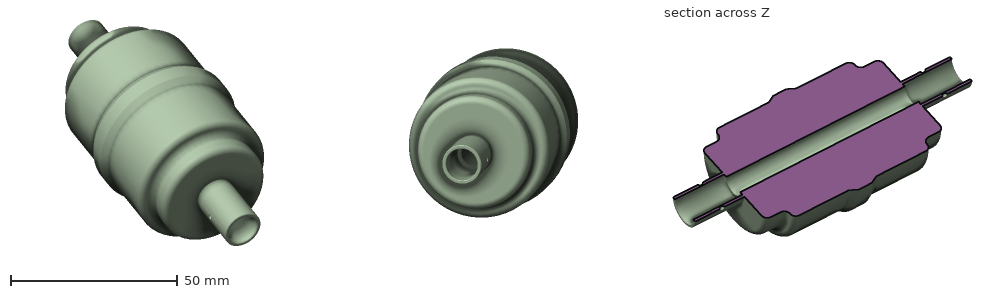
import cadquery as cq

length = 101.0
body_diameter = 43.0
body_length = 50.0
cap_diameter = 34.5
cap_length = 65.0
corner_radius = 2.0

band_diameter = 46.0
band_length = 10.1
band_flat_length = 4.8

tube_diameter = 12.0
socket_diameter = 9.7
bore_diameter = 7.3
rim_chamfer = 0.2
dimple_diameter = 1.5
dimple_from_end = 10.0

tube_length = (length - cap_length) / 2


def cylinder(diameter, height):
    """Cylinder along X, centred on the origin."""
    return cq.Workplane("YZ").circle(diameter / 2).extrude(height / 2, both=True)


def rounded_cylinder(diameter, height):
    return cylinder(diameter, height).faces("<X or >X").edges().fillet(corner_radius)


def make_band():
    """Ring with a flat outer surface and straight conical flanks."""
    half = band_length / 2
    flat_half = band_flat_length / 2
    body_radius = body_diameter / 2
    band_radius = band_diameter / 2
    profile = [
        (-half, 0),
        (-half, body_radius),
        (-flat_half, band_radius),
        (flat_half, band_radius),
        (half, body_radius),
        (half, 0),
    ]
    return cq.Workplane("XY").polyline(profile).close().revolve(360, (0, 0, 0), (1, 0, 0))


def make_root_fillet():
    """Concave ring between the cap and body shoulder on the +X side."""
    shoulder = body_length / 2
    cap_radius = cap_diameter / 2
    centre_x = shoulder + corner_radius
    centre_r = cap_radius + corner_radius
    diagonal = corner_radius / 2**0.5
    return (
        cq.Workplane("XY")
        .moveTo(shoulder, 0)
        .lineTo(shoulder, centre_r)
        .threePointArc((centre_x - diagonal, centre_r - diagonal), (centre_x, cap_radius))
        .lineTo(centre_x, 0)
        .close()
        .revolve(360, (0, 0, 0), (1, 0, 0))
    )


root_fillet = make_root_fillet()
result = rounded_cylinder(body_diameter, body_length)
result = result.union(rounded_cylinder(cap_diameter, cap_length))
result = result.union(root_fillet).union(root_fillet.mirror("YZ"))
result = result.union(make_band())
result = result.union(cylinder(tube_diameter, length))

result = result.cut(cylinder(bore_diameter, length))
for end in ("<X", ">X"):
    result = result.faces(end).workplane(centerOption="CenterOfBoundBox")
    result = result.circle(socket_diameter / 2).cutBlind(-tube_length)
result = result.faces("<X or >X").edges().chamfer(rim_chamfer)

dimple_x = length / 2 - dimple_from_end
dimple_y = tube_diameter / 2
for x in (-dimple_x, dimple_x):
    for y in (-dimple_y, dimple_y):
        dimple = cq.Workplane("XY").sphere(dimple_diameter / 2).translate((x, y, 0))
        result = result.cut(dimple)